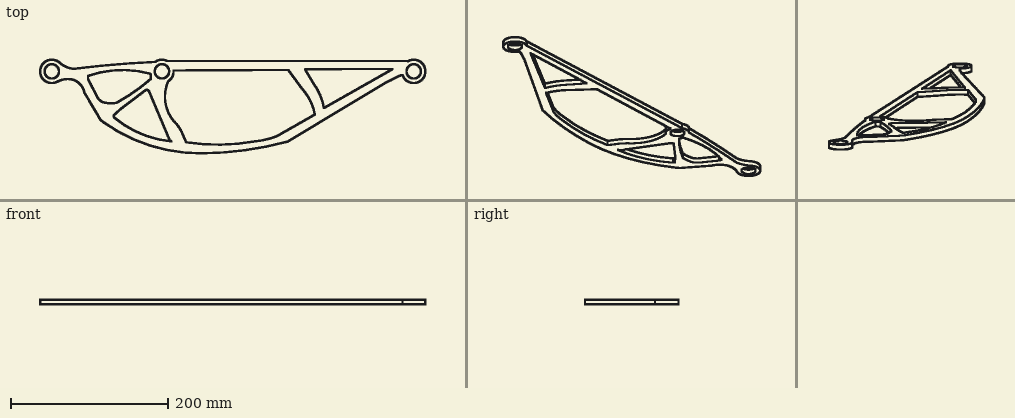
import cadquery as cq
import math

thickness = 6.3
eye_diameter = 30.0
bore_diameter = 18.0
eye_spacing = 460.0
pivot_x = 140.0
total_depth = 119.36

eye_radius = eye_diameter / 2
bore_radius = bore_diameter / 2
top_edge_y = 13.3
belly_low = (190.0, eye_radius - total_depth)
left_eye = (0.0, 0.0)
pivot_eye = (pivot_x, 0.0)
right_eye = (eye_spacing, 0.0)
eye_centres = [left_eye, pivot_eye, right_eye]


def on_eye_rim(centre, angle):
    """Point on the rim of an eye, at an angle in degrees from +X."""
    turn = math.radians(angle)
    return (centre[0] + eye_radius * math.cos(turn), centre[1] + eye_radius * math.sin(turn))


def frame_plate():
    """Solid plate beneath the eyes, traced counter-clockwise from the left eye."""
    neck_low_start = on_eye_rim(left_eye, -60)
    neck_low_end = (28.0, -11.0)
    neck_high_start = (28.0, 3.4)
    neck_high_end = on_eye_rim(left_eye, 48)
    flank_top = (41.3, -27.1)
    flank_bottom = (58.9, -56.6)
    belly_start = (66.0, -65.0)
    rail_start = (299.9, -89.4)
    rail_bend = (424.6, -14.4)
    rail_end = (442.3, -5.6)
    top_right = (eye_spacing - eye_radius / 2, top_edge_y)
    top_left = (pivot_x, top_edge_y)
    bow_start = (134.0, 12.3)

    return (
        cq.Workplane("XY")
        .moveTo(*left_eye)
        .lineTo(*neck_low_start)
        .threePointArc((18.0, -10.0), neck_low_end)
        .threePointArc((35.5, -16.0), flank_top)
        .lineTo(*flank_bottom)
        .threePointArc((61.5, -61.0), belly_start)
        .threePointArc((125.0, -94.5), belly_low)
        .threePointArc((249.7, -99.8), rail_start)
        .lineTo(*rail_bend)
        .lineTo(*rail_end)
        .lineTo(*right_eye)
        .lineTo(*top_right)
        .lineTo(*top_left)
        .lineTo(*bow_start)
        .threePointArc((78.0, 8.7), neck_high_start)
        .threePointArc((17.6, 6.1), neck_high_end)
        .close()
        .extrude(thickness)
    )


def upper_left_window():
    """Opening under the bowed top edge, with a rounded bottom."""
    top_left = (46.0, -5.9)
    top_right = (125.5, -3.2)
    right_end = (125.7, -9.6)
    bottom_right = (82.0, -40.0)
    bottom_left = (66.0, -39.4)
    flank_bottom = (58.6, -33.9)
    flank_top = (46.3, -10.0)
    return (
        cq.Workplane("XY")
        .moveTo(*top_left)
        .threePointArc((91.0, 1.6), top_right)
        .lineTo(*right_end)
        .threePointArc((110.2, -22.0), bottom_right)
        .threePointArc((74.0, -40.4), bottom_left)
        .threePointArc((61.5, -37.1), flank_bottom)
        .lineTo(*flank_top)
        .close()
        .extrude(thickness)
    )


def lower_left_window():
    """Triangular opening between the diagonal strut, the pivot web and the belly."""
    apex_left = (119.3, -23.9)
    apex_right = (123.8, -26.2)
    web_foot = (149.8, -87.8)
    bottom_tip = (152.3, -88.9)
    left_low = (79.4, -58.7)
    left_high = (78.4, -56.4)
    strut_foot = (86.6, -48.7)
    return (
        cq.Workplane("XY")
        .moveTo(*apex_left)
        .threePointArc((121.9, -23.9), apex_right)
        .lineTo(*web_foot)
        .lineTo(*bottom_tip)
        .threePointArc((113.0, -79.1), left_low)
        .lineTo(*left_high)
        .lineTo(*strut_foot)
        .close()
        .extrude(thickness)
    )


def main_window():
    """Large opening between the pivot web and the right-hand strut."""
    rim_start = on_eye_rim(pivot_eye, -57.8)
    rim_middle = on_eye_rim(pivot_eye, -30)
    rim_end = on_eye_rim(pivot_eye, 4)
    top_right = (300.6, 1.6)
    strut_bend = (317.2, -21.1)
    strut_foot = (334.2, -54.8)
    rail_end = (285.8, -82.4)
    belly_right = (257.8, -88.9)
    belly_left = (170.9, -90.0)
    web_foot = (167.3, -81.9)
    web_bend = (154.9, -63.0)
    return (
        cq.Workplane("XY")
        .moveTo(*rim_end)
        .lineTo(*top_right)
        .lineTo(*strut_bend)
        .threePointArc((327.5, -35.5), strut_foot)
        .lineTo(*rail_end)
        .threePointArc((274.0, -86.1), belly_right)
        .threePointArc((216.0, -93.0), belly_left)
        .lineTo(*web_foot)
        .threePointArc((165.0, -76.5), web_bend)
        .threePointArc((144.1, -36.0), rim_start)
        .threePointArc(rim_middle, rim_end)
        .close()
        .extrude(thickness)
    )


def right_window():
    """Long triangular opening beside the right eye, closed by the curved strut."""
    top_left = (322.0, 2.55)
    right_tip = (433.0, 2.9)
    bottom_tip = (346.0, -46.4)
    strut_bend = (333.5, -16.5)
    return (
        cq.Workplane("XY")
        .moveTo(*top_left)
        .lineTo(*right_tip)
        .lineTo(*bottom_tip)
        .threePointArc((341.6, -31.0), strut_bend)
        .close()
        .extrude(thickness)
    )


def eye_cylinders(radius):
    """One full-thickness cylinder at each eye centre."""
    return cq.Workplane("XY").pushPoints(eye_centres).circle(radius).extrude(thickness)


plate = frame_plate()
for window in (upper_left_window(), lower_left_window(), main_window(), right_window()):
    plate = plate.cut(window)

result = plate.union(eye_cylinders(eye_radius)).cut(eye_cylinders(bore_radius))